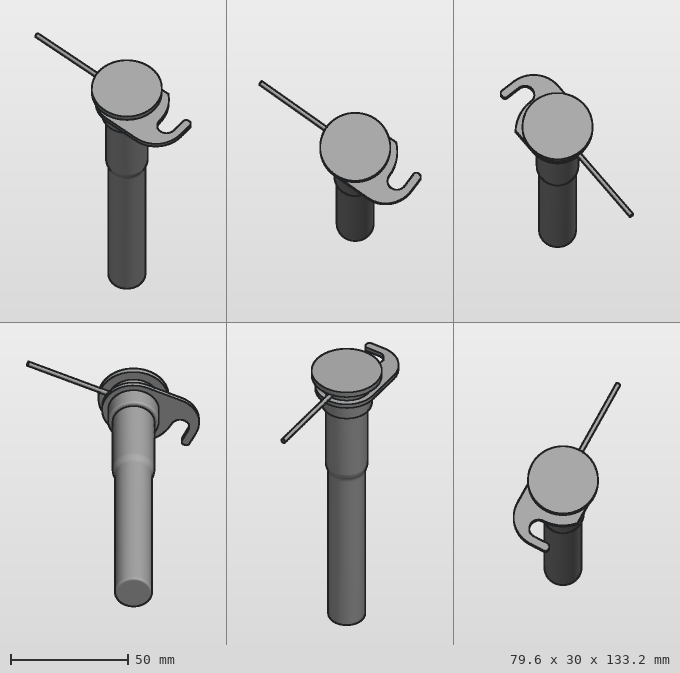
import cadquery as cq
import math

total_height = 133.2
cap_radius = 30.0 / 2
cap_thickness = 2.5
collar_radius = 21.7 / 2
collar_depth = 18.1
sleeve_radius = 18.0 / 2
tube_radius = 16.0 / 2
taper_start_depth = 50.0
taper_end_depth = 54.3
taper_overlap = 1.3
edge_round = 1.0

rod_radius = 2.0 / 2
rod_reach = 50.0
rod_depth = 4.9

plate_top_depth = 7.7
plate_thickness = 2.0
plate_radius = 13.5
hook_arc_center_x = 16.1
hook_tip_y = 8.0
hook_tip_round = 1.5
slot_radius = 4.0
slot_inner_x = 18.0


def cylinder(radius, top_depth, bottom_depth):
    """Vertical cylinder on the Z axis between two depths."""
    return cq.Workplane("XY").workplane(offset=-bottom_depth).circle(radius).extrude(bottom_depth - top_depth)


def make_stem():
    """Cap, collar, sleeve and tube joined by a smooth S-shaped taper."""
    cap = cylinder(cap_radius, 0, cap_thickness)
    collar = cylinder(collar_radius, 0, collar_depth).faces("<Z").edges().fillet(edge_round)
    sleeve = cylinder(sleeve_radius, 0, taper_start_depth)
    tube = cylinder(tube_radius, 0, total_height).faces("<Z").edges().fillet(edge_round)
    middle_radius = (sleeve_radius + tube_radius) / 2
    middle_depth = (taper_start_depth + taper_end_depth) / 2
    taper = (
        cq.Workplane("XZ")
        .moveTo(0, -taper_end_depth)
        .lineTo(0, -taper_start_depth + taper_overlap)
        .lineTo(sleeve_radius, -taper_start_depth + taper_overlap)
        .lineTo(sleeve_radius, -taper_start_depth)
        .tangentArcPoint((middle_radius, -middle_depth), relative=False)
        .tangentArcPoint((tube_radius, -taper_end_depth), relative=False)
        .close()
        .revolve(360, (0, 0, 0), (0, 1, 0))
    )
    return cap.union(collar).union(sleeve).union(taper).union(tube)


def make_rod():
    """Thin round rod running from the stem axis out towards -X."""
    return cq.Workplane("YZ").center(0, -rod_depth).circle(rod_radius).extrude(-rod_reach)


def make_hook_plate():
    """Flat plate around the collar that ends in an open hook on the +X side."""
    hook_outer_x = hook_arc_center_x + plate_radius
    slot_center_x = slot_inner_x + slot_radius
    slot_outer_x = slot_center_x + slot_radius
    diagonal = math.sqrt(0.5)
    corner_x = math.sqrt(slot_inner_x**2 - plate_radius**2)
    half_angle = math.atan2(plate_radius, corner_x) / 2
    neck_middle = (slot_inner_x * math.cos(half_angle), slot_inner_x * math.sin(half_angle))
    hook_middle = (hook_arc_center_x + plate_radius * diagonal, -plate_radius * diagonal)
    plate = (
        cq.Workplane("XY")
        .workplane(offset=-plate_top_depth - plate_thickness)
        .moveTo(0, -plate_radius)
        .lineTo(hook_arc_center_x, -plate_radius)
        .threePointArc(hook_middle, (hook_outer_x, 0))
        .lineTo(hook_outer_x, hook_tip_y)
        .lineTo(slot_outer_x, hook_tip_y)
        .lineTo(slot_outer_x, 0)
        .threePointArc((slot_center_x, -slot_radius), (slot_inner_x, 0))
        .threePointArc(neck_middle, (corner_x, plate_radius))
        .lineTo(0, plate_radius)
        .threePointArc((-plate_radius, 0), (0, -plate_radius))
        .close()
        .extrude(plate_thickness)
    )
    tip_edges = cq.selectors.BoxSelector(
        (slot_center_x, hook_tip_y / 2, -total_height),
        (hook_outer_x + slot_radius, hook_tip_y * 2, 0),
    )
    return plate.edges("|Z").edges(tip_edges).fillet(hook_tip_round)


result = make_stem().union(make_rod()).union(make_hook_plate())